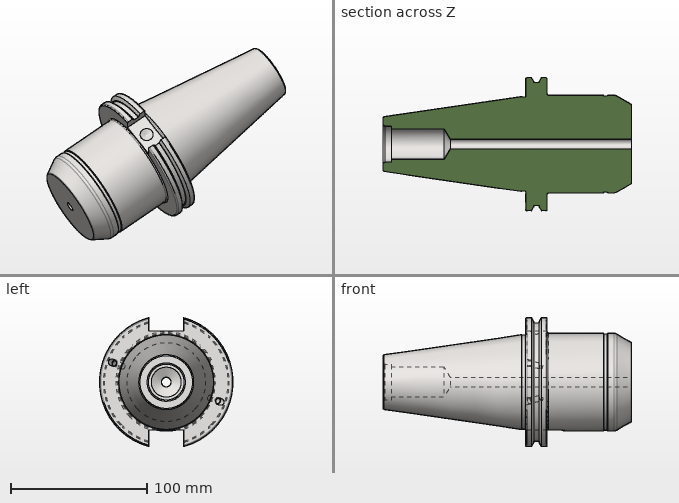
import math
import cadquery as cq


gauge_radius = 69.85 / 2
taper_length = 101.6
taper_per_length = 7 / 24
tail_radius = gauge_radius - taper_length * taper_per_length / 2
tail_chamfer = 0.8
neck_radius = 69.25 / 2
neck_start = 1.0
neck_fillet = 0.6

flange_start = 3.175
flange_width = 15.875
flange_end = flange_start + flange_width
flange_middle = flange_start + flange_width / 2
flange_radius = 98.1 / 2
flange_fillet = 1.0
groove_radius = 90.7 / 2
groove_mouth_width = 7.15
groove_floor_width = 3.85
groove_wall_angle = 30

body_radius = 72 / 2
body_end = 81.0
body_fillet = 1.0
ring_groove_start = 60.2
ring_groove_width = 3.3
ring_groove_radius = 71 / 2
nose_angle = 30
nose_blend_start = 67.9
nose_blend_radius = 4.4
nose_chamfer = 0.5

mouth_radius = 28.2 / 2
counterbore_radius = 26.2 / 2
counterbore_depth = 6.2
mouth_chamfer_angle = 30
drill_radius = 21.97 / 2
drill_depth = 45.0
drill_point_angle = 118
through_radius = 6.92 / 2

slot_width = 25.65
top_slot_height = 37.7
bottom_slot_height = 35.3
dimple_radius = 9.53 / 2

coolant_circle_radius = 42.0
coolant_turn = 20
coolant_slant = 35
coolant_mouth_diameter = 5.0
coolant_mouth_depth = 3.2
coolant_diameter = 4.13
coolant_depth = 14.0


def tan_degrees(angle):
    return math.tan(math.radians(angle))


def turned_body():
    """Outer shape of the holder, revolved about X."""
    mouth_half = groove_mouth_width / 2
    floor_half = groove_floor_width / 2
    groove_wall_radius = flange_radius - (mouth_half - floor_half) / tan_degrees(groove_wall_angle)
    ring_depth = body_radius - ring_groove_radius
    ring_groove_end = ring_groove_start + ring_groove_width
    nose_turn = math.radians(nose_angle)

    def blend_point(turn):
        x = nose_blend_start + nose_blend_radius * math.sin(turn)
        return x, body_radius - nose_blend_radius * (1 - math.cos(turn))

    cone_x, cone_radius = blend_point(nose_turn)
    nose_edge_x = body_end - nose_chamfer
    nose_edge_radius = cone_radius - (nose_edge_x - cone_x) * math.tan(nose_turn)

    quarter_gap = 1 - math.sqrt(0.5)
    neck_gap = neck_fillet * quarter_gap
    flange_gap = flange_fillet * quarter_gap
    body_gap = body_fillet * quarter_gap

    profile = (
        cq.Workplane("XY")
        .moveTo(-taper_length, 0)
        .lineTo(-taper_length, tail_radius - tail_chamfer)
        .lineTo(-taper_length + tail_chamfer, tail_radius + tail_chamfer * taper_per_length / 2)
        .lineTo(0, gauge_radius)
        .lineTo(neck_start, neck_radius)
        .lineTo(flange_start - neck_fillet, neck_radius)
        .threePointArc(
            (flange_start - neck_gap, neck_radius + neck_gap),
            (flange_start, neck_radius + neck_fillet),
        )
        .lineTo(flange_start, flange_radius - flange_fillet)
        .threePointArc(
            (flange_start + flange_gap, flange_radius - flange_gap),
            (flange_start + flange_fillet, flange_radius),
        )
        .lineTo(flange_middle - mouth_half, flange_radius)
        .lineTo(flange_middle - floor_half, groove_wall_radius)
        .lineTo(flange_middle - floor_half, groove_radius)
        .lineTo(flange_middle + floor_half, groove_radius)
        .lineTo(flange_middle + floor_half, groove_wall_radius)
        .lineTo(flange_middle + mouth_half, flange_radius)
        .lineTo(flange_end - flange_fillet, flange_radius)
        .threePointArc(
            (flange_end - flange_gap, flange_radius - flange_gap),
            (flange_end, flange_radius - flange_fillet),
        )
        .lineTo(flange_end, body_radius + body_fillet)
        .threePointArc(
            (flange_end + body_gap, body_radius + body_gap),
            (flange_end + body_fillet, body_radius),
        )
        .lineTo(ring_groove_start, body_radius)
        .lineTo(ring_groove_start + ring_depth, ring_groove_radius)
        .lineTo(ring_groove_end - ring_depth, ring_groove_radius)
        .lineTo(ring_groove_end, body_radius)
        .lineTo(nose_blend_start, body_radius)
        .threePointArc(blend_point(nose_turn / 2), (cone_x, cone_radius))
        .lineTo(nose_edge_x, nose_edge_radius)
        .lineTo(body_end, nose_edge_radius - nose_chamfer)
        .lineTo(body_end, 0)
        .close()
    )
    return profile.revolve(360, (0, 0), (1, 0))


def axial_bore():
    """Chamfered counterbore, drilled hole with its point, and the through hole."""
    chamfer_length = (mouth_radius - counterbore_radius) / tan_degrees(mouth_chamfer_angle)
    step_x = counterbore_depth - taper_length
    drill_end = drill_depth - taper_length
    point_end = drill_end + (drill_radius - through_radius) / tan_degrees(drill_point_angle / 2)
    profile = (
        cq.Workplane("XY")
        .moveTo(-taper_length, 0)
        .lineTo(-taper_length, mouth_radius)
        .lineTo(-taper_length + chamfer_length, counterbore_radius)
        .lineTo(step_x, counterbore_radius)
        .lineTo(step_x, drill_radius)
        .lineTo(drill_end, drill_radius)
        .lineTo(point_end, through_radius)
        .lineTo(body_end, through_radius)
        .lineTo(body_end, 0)
        .close()
    )
    return profile.revolve(360, (0, 0), (1, 0))


def drive_slot(floor_height, side):
    """Milled slot across the flange with a round end past it; side is 1 for +Z and -1 for -Z."""
    slot_radius = slot_width / 2
    depth = flange_radius - floor_height
    outline = (
        cq.Workplane("XY", origin=(0, 0, side * floor_height))
        .moveTo(flange_start, -slot_radius)
        .lineTo(flange_end, -slot_radius)
        .threePointArc((flange_end + slot_radius, 0), (flange_end, slot_radius))
        .lineTo(flange_start, slot_radius)
        .close()
    )
    return outline.extrude(side * depth)


def slot_dimple():
    """Conical drill-point dimple in the floor of the +Z slot."""
    dimple_depth = dimple_radius / tan_degrees(drill_point_angle / 2)
    profile = cq.Workplane("XZ").lineTo(dimple_radius, 0).lineTo(0, -dimple_depth).close()
    return profile.revolve(360, (0, 0), (0, 1)).translate((flange_middle, 0, top_slot_height))


def coolant_hole(turn):
    """Stepped hole slanting from the rear flange face towards the axis."""
    slant = math.radians(coolant_slant)
    direction = cq.Vector(math.cos(slant), -math.sin(slant), 0)
    entry = cq.Vector(flange_start, coolant_circle_radius, 0)
    lead = coolant_mouth_diameter
    start = entry - direction * lead
    mouth = cq.Solid.makeCylinder(coolant_mouth_diameter / 2, lead + coolant_mouth_depth, start, direction)
    drilling = cq.Solid.makeCylinder(coolant_diameter / 2, coolant_depth, entry, direction)
    return cq.Workplane(mouth.fuse(drilling)).rotate((0, 0, 0), (1, 0, 0), turn)


result = turned_body().cut(axial_bore())
result = result.cut(drive_slot(top_slot_height, 1))
result = result.cut(drive_slot(bottom_slot_height, -1))
result = result.cut(slot_dimple())
for turn in (coolant_turn, coolant_turn + 180):
    result = result.cut(coolant_hole(turn))